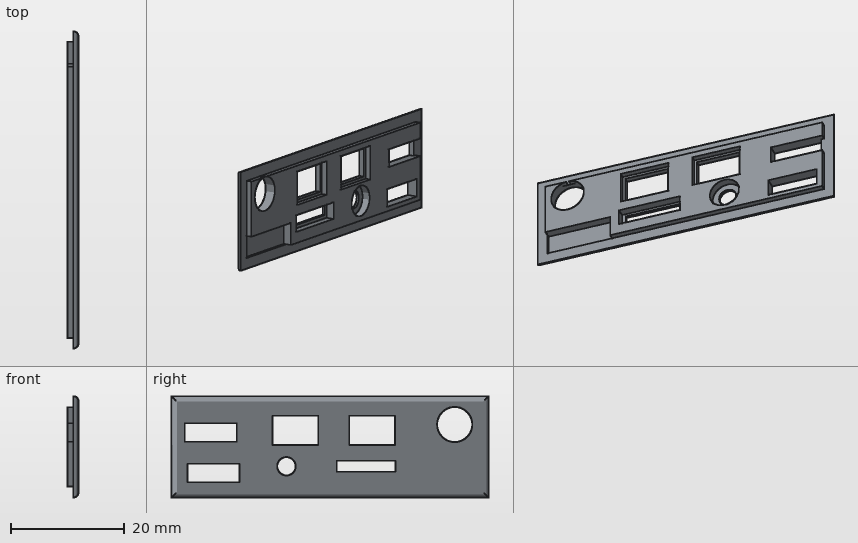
import cadquery as cq

PLATE_LENGTH = 55.9
PLATE_HEIGHT = 17.9
PLATE_THICKNESS = 1.0
EDGE_FLAT = 0.001
EDGE_RADIUS = PLATE_THICKNESS - EDGE_FLAT
PAD_LENGTH = 52.2
PAD_HEIGHT = 14.0
PAD_THICKNESS = 1.0

PAD_FACE_X = -(PLATE_THICKNESS + PAD_THICKNESS) / 2
PLATE_BACK_X = PAD_FACE_X + PAD_THICKNESS
THROUGH_DEPTH = PLATE_THICKNESS + PAD_THICKNESS

ROUND_HOLE_DIAMETER = 6.15
ROUND_HOLE_BREAKOUT = 0.01
ROUND_HOLE_Y = 21.95
ROUND_HOLE_Z = PAD_HEIGHT / 2 + ROUND_HOLE_BREAKOUT - ROUND_HOLE_DIAMETER / 2

WINDOW_LENGTH = 8.0
WINDOW_HEIGHT = 5.1
WINDOW_LEDGE = 0.5
WINDOW_RECESS_DEPTH = 1.0
WINDOW_PITCH = 13.5
FIRST_WINDOW_Y = 7.4
WINDOW_Z = 2.9

SLOT_RECESS_LENGTH = 11.5
SLOT_RECESS_HEIGHT = 3.0
SLOT_RECESS_DEPTH = 1.5
SLOT_RECESS_Y = 6.48
SLOT_RECESS_Z = -3.48
SLOT_LENGTH = 10.3
SLOT_HEIGHT = 1.9
SLOT_Y = 6.38
SLOT_Z = -3.42

JACK_DIAMETER = 3.2
JACK_RECESS_DIAMETER = 5.5
JACK_RECESS_DEPTH = 1.5
JACK_Y = -7.67
JACK_Z = -3.42

OPENING_LENGTH = 9.1
OPENING_HEIGHT = 3.2
UPPER_OPENING_Y = -20.98
UPPER_OPENING_Z = 2.52
LOWER_OPENING_Y = -20.5
LOWER_OPENING_Z = -4.6

CORNER_LENGTH = 12.2
CORNER_HEIGHT = 4.0
CORNER_PLATE_DEPTH = 0.5


def block(length, height, y, z, start_x, depth):
    """Box centred on (y, z) that runs from start_x towards +X."""
    return cq.Workplane("XY").box(depth, length, height, centered=(False, True, True)).translate((start_x, y, z))


def cylinder(diameter, y, z, depth):
    """Cylinder centred on (y, z) that runs from the pad face towards +X."""
    return cq.Workplane("YZ", origin=(PAD_FACE_X, y, z)).circle(diameter / 2).extrude(depth)


def make_plate():
    plate = block(PLATE_LENGTH, PLATE_HEIGHT, 0, 0, PLATE_BACK_X, PLATE_THICKNESS)
    plate = plate.faces(">X").edges().fillet(EDGE_RADIUS)
    pad = block(PAD_LENGTH, PAD_HEIGHT, 0, 0, PAD_FACE_X, PAD_THICKNESS)
    return plate.union(pad)


def cut_windows(body):
    for y in (FIRST_WINDOW_Y, FIRST_WINDOW_Y - WINDOW_PITCH):
        recess_length = WINDOW_LENGTH + 2 * WINDOW_LEDGE
        recess_height = WINDOW_HEIGHT + 2 * WINDOW_LEDGE
        body = body.cut(block(recess_length, recess_height, y, WINDOW_Z, PAD_FACE_X, WINDOW_RECESS_DEPTH))
        body = body.cut(block(WINDOW_LENGTH, WINDOW_HEIGHT, y, WINDOW_Z, PAD_FACE_X, THROUGH_DEPTH))
    return body


def cut_slot(body):
    recess = block(
        SLOT_RECESS_LENGTH, SLOT_RECESS_HEIGHT, SLOT_RECESS_Y, SLOT_RECESS_Z, PAD_FACE_X, SLOT_RECESS_DEPTH
    )
    opening = block(SLOT_LENGTH, SLOT_HEIGHT, SLOT_Y, SLOT_Z, PAD_FACE_X, THROUGH_DEPTH)
    return body.cut(recess).cut(opening)


def cut_round_holes(body):
    body = body.cut(cylinder(ROUND_HOLE_DIAMETER, ROUND_HOLE_Y, ROUND_HOLE_Z, THROUGH_DEPTH))
    body = body.cut(cylinder(JACK_RECESS_DIAMETER, JACK_Y, JACK_Z, JACK_RECESS_DEPTH))
    return body.cut(cylinder(JACK_DIAMETER, JACK_Y, JACK_Z, THROUGH_DEPTH))


def cut_end_openings(body):
    for y, z in ((UPPER_OPENING_Y, UPPER_OPENING_Z), (LOWER_OPENING_Y, LOWER_OPENING_Z)):
        body = body.cut(block(OPENING_LENGTH, OPENING_HEIGHT, y, z, PAD_FACE_X, THROUGH_DEPTH))
    notch_length = UPPER_OPENING_Y + PAD_LENGTH / 2
    notch_y = UPPER_OPENING_Y - notch_length / 2
    return body.cut(block(notch_length, OPENING_HEIGHT, notch_y, UPPER_OPENING_Z, PAD_FACE_X, PAD_THICKNESS))


def cut_corner(body):
    y = (PAD_LENGTH - CORNER_LENGTH) / 2
    z = (CORNER_HEIGHT - PAD_HEIGHT) / 2
    depth = PAD_THICKNESS + CORNER_PLATE_DEPTH
    return body.cut(block(CORNER_LENGTH, CORNER_HEIGHT, y, z, PAD_FACE_X, depth))


panel = make_plate()
panel = cut_windows(panel)
panel = cut_slot(panel)
panel = cut_round_holes(panel)
panel = cut_end_openings(panel)
result = cut_corner(panel)